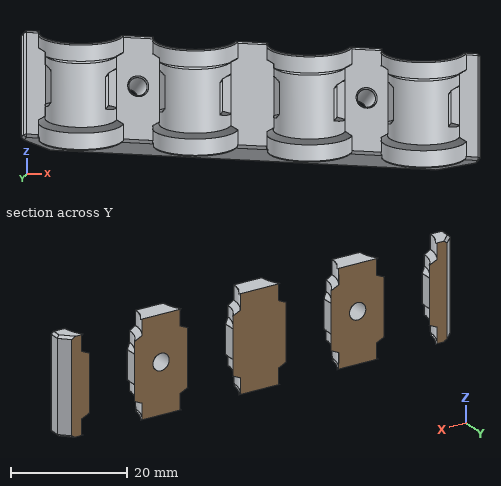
import cadquery as cq

length = 80.0
depth = 8.5
height = 19.0
end_bevel = 6.0
edge_chamfer = 0.5

bay_count = 4
bay_pitch = length / bay_count
bore_radius = 6.2
groove_radius = 7.4
lip_radius = 7.2
lip_height = 0.2
groove_depth = 3.1
cone_height = 0.7

lug_face_offset = 5.0
lug_face_height = 5.8
lug_end_slope_height = 0.6
lug_rise = bore_radius - lug_face_offset

screw_diameter = 3.2
screw_chamfer = 0.2
screw_spacing = 2 * bay_pitch
screw_z = 0.5


def make_body():
    """Bar with bevelled back corners and chamfered edges."""
    half = length / 2
    body = (
        cq.Workplane("XY", origin=(0, 0, -height / 2))
        .polyline([
            (-half, 0),
            (half, 0),
            (half, depth - end_bevel),
            (half - end_bevel, depth),
            (-half + end_bevel, depth),
            (-half, depth - end_bevel),
        ])
        .close()
        .extrude(height)
    )
    end_face_edges = body.faces("|Z").edges()
    front_corner_edges = body.faces("<Y").edges("|Z")
    return body.newObject(end_face_edges.vals() + front_corner_edges.vals()).chamfer(edge_chamfer)


def make_bay_round():
    """Full stepped round of one bay, about the Z axis."""
    top = height / 2
    cone_start = top - groove_depth
    upper_half = [
        (lip_radius, top),
        (groove_radius, top - lip_height),
        (groove_radius, cone_start),
        (bore_radius, cone_start - cone_height),
    ]
    lower_half = [(radius, -z) for radius, z in reversed(upper_half)]
    return (
        cq.Workplane("XZ")
        .polyline([(0, top)] + upper_half + lower_half + [(0, -top)])
        .close()
        .revolve(360, (0, 0, 0), (0, 1, 0))
    )


def make_lug():
    """Lug on the +X wall: sloped ends and a 45 degree lead-in from the open face."""
    face_half = lug_face_height / 2
    root_half = face_half + lug_end_slope_height
    side = (
        cq.Workplane("XZ")
        .polyline([
            (lug_face_offset, -face_half),
            (lug_face_offset, face_half),
            (bore_radius, root_half),
            (bore_radius, -root_half),
        ])
        .close()
        .extrude(-bore_radius)
    )
    plan = (
        cq.Workplane("XY", origin=(0, 0, -root_half))
        .polyline([
            (bore_radius, 0),
            (lug_face_offset, lug_rise),
            (lug_face_offset, bore_radius),
            (bore_radius, bore_radius),
        ])
        .close()
        .extrude(2 * root_half)
    )
    return side.intersect(plan)


def make_screw_cutter():
    """Through hole along +Y with a chamfered mouth on the open face."""
    radius = screw_diameter / 2
    return (
        cq.Workplane("XY")
        .polyline([
            (0, 0),
            (radius + screw_chamfer, 0),
            (radius, screw_chamfer),
            (radius, depth),
            (0, depth),
        ])
        .close()
        .revolve(360, (0, 0, 0), (0, 1, 0))
    )


lug = make_lug()
bay_cutter = make_bay_round().cut(lug).cut(lug.mirror("YZ"))
screw_cutter = make_screw_cutter()

result = make_body()
for index in range(bay_count):
    bay_x = (index - (bay_count - 1) / 2) * bay_pitch
    result = result.cut(bay_cutter.translate((bay_x, 0, 0)))
for side in (-1, 1):
    result = result.cut(screw_cutter.translate((side * screw_spacing / 2, 0, screw_z)))